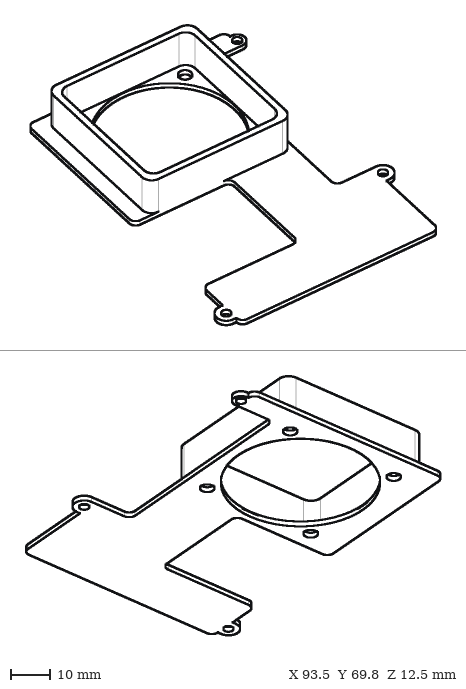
import cadquery as cq

length = 93.5
width = 61.8
plate_thickness = 1.5
total_height = 12.5
corner_radius = 2.0

upper_notch_left = 6.6
upper_notch_right = 64.4
upper_notch_floor = 50.2
lower_notch_left = 46.7
lower_notch_right = 76.7
lower_notch_roof = 30.0

ear_hole_diameter = 2.6
ear_radius = 3.0
small_ear_radius = (upper_notch_left - corner_radius) / 2
small_ear_x = upper_notch_left - small_ear_radius
small_ear_y = 62.4
upper_ear_x = upper_notch_right + ear_radius
upper_ear_y = 62.8
lower_ear_x = length - corner_radius - ear_radius
lower_ear_y = -1.0

frame_size = 44.7
frame_wall = 2.0
frame_radius = 3.0
frame_x = lower_notch_left - frame_size / 2
frame_y = 27.0
fan_bore_diameter = 40.5
fan_hole_diameter = 3.6
fan_hole_spacing = 33.7


def rounded_block(x_min, y_min, x_max, y_max, height, radius):
    """Block standing on Z = 0 with rounded vertical edges."""
    block = cq.Workplane("XY").box(x_max - x_min, y_max - y_min, height, centered=False)
    return block.edges("|Z").fillet(radius).translate((x_min, y_min, 0))


def make_plate():
    """Notched plate with every corner rounded."""
    outline = [
        (0, 0),
        (lower_notch_left, 0),
        (lower_notch_left, lower_notch_roof),
        (lower_notch_right, lower_notch_roof),
        (lower_notch_right, 0),
        (length, 0),
        (length, width),
        (upper_notch_right, width),
        (upper_notch_right, upper_notch_floor),
        (upper_notch_left, upper_notch_floor),
        (upper_notch_left, width),
        (0, width),
    ]
    plate = cq.Workplane("XY").polyline(outline).close().extrude(plate_thickness)
    return plate.edges("|Z").fillet(corner_radius)


def make_ear(x, y, radius, root_y):
    """Round-ended tab at (x, y) running back into the plate as far as root_y."""
    root = (
        cq.Workplane("XY")
        .center(x, (y + root_y) / 2)
        .rect(2 * radius, abs(y - root_y))
        .extrude(plate_thickness)
    )
    tip = cq.Workplane("XY").center(x, y).circle(radius).extrude(plate_thickness)
    return root.union(tip)


def make_square_block(size, height):
    """Rounded square block centred on the fan."""
    half = size / 2
    return rounded_block(
        frame_x - half, frame_y - half, frame_x + half, frame_y + half, height, frame_radius
    )


def make_frame():
    """Hollow frame around the fan, open at both ends."""
    outer = make_square_block(frame_size, total_height)
    inner = make_square_block(frame_size - 2 * frame_wall, total_height)
    return outer.cut(inner)


def drill(body, points, diameter):
    """Drill through the plate at the given points."""
    holes = cq.Workplane("XY").pushPoints(points).circle(diameter / 2).extrude(total_height)
    return body.cut(holes)


ears = [
    (small_ear_x, small_ear_y, small_ear_radius, width - corner_radius),
    (upper_ear_x, upper_ear_y, ear_radius, width - corner_radius),
    (lower_ear_x, lower_ear_y, ear_radius, corner_radius),
]
ear_centers = [(x, y) for x, y, _, _ in ears]

half_spacing = fan_hole_spacing / 2
fan_holes = [
    (frame_x + side_x * half_spacing, frame_y + side_y * half_spacing)
    for side_x in (-1, 1)
    for side_y in (-1, 1)
]

result = make_plate()
for ear in ears:
    result = result.union(make_ear(*ear))
result = result.union(make_frame())
result = drill(result, [(frame_x, frame_y)], fan_bore_diameter)
result = drill(result, fan_holes, fan_hole_diameter)
result = drill(result, ear_centers, ear_hole_diameter)